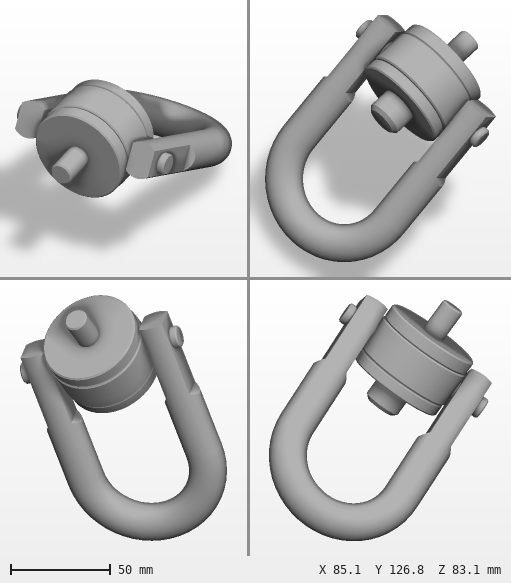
import cadquery as cq
import math


ring_radius = 25.5
ring_rear = 9.5
ring_front = -9.5
edge_chamfer = 0.8

flange_radius = 25.0
rear_clearance = 0.3
rear_flange_front = ring_rear + rear_clearance
rear_flange_rear = 16.2
front_flange_front = -17.0

sleeve_radius = 11.4

screw_radius = 6.0
head_radius = 9.5
head_rear = 28.9
head_chamfer = 2.0

bail_tilt = 30.0
rod_radius = 9.5
bend_radius = 32.1
bend_distance = 64.0
leg_end = -11.7
leg_flat_inner = 25.9
leg_flat_outer = 38.5
flat_length = 29.2

pin_radius = 5.0
pin_inner_end = 16.5
pin_head_radius = 5.6
pin_head_start = 39.2
overall_width = 85.1
pin_head_end = overall_width / 2
pin_chamfer = 0.8

overall_length = 126.8
bail_reach = (bend_distance + bend_radius) * math.cos(math.radians(bail_tilt)) + rod_radius
screw_front = bail_reach - overall_length


def disc(radius, front, rear):
    """Cylinder about the Y axis, from front to rear."""
    return cq.Workplane("XZ", origin=(0, rear, 0)).circle(radius).extrude(rear - front)


def chamfered_disc(radius, front, rear, chamfer):
    return disc(radius, front, rear).edges().chamfer(chamfer)


def pin_cylinder(radius, inner, outer):
    """Cylinder about the X axis, from inner to outer."""
    return cq.Workplane("YZ", origin=(inner, 0, 0)).circle(radius).extrude(outer - inner)


def other_side(body):
    return body.mirror("YZ")


def make_screw():
    head = disc(head_radius, rear_flange_rear, head_rear).faces(">Y").chamfer(head_chamfer)
    flange = chamfered_disc(flange_radius, rear_flange_front, rear_flange_rear, edge_chamfer)
    shank = disc(screw_radius, screw_front, rear_flange_front).faces("<Y").chamfer(edge_chamfer)
    return head.union(flange).union(shank)


def make_bushing():
    flange = chamfered_disc(flange_radius, front_flange_front, ring_front, edge_chamfer)
    sleeve = disc(sleeve_radius, ring_front, rear_flange_front)
    bore = disc(screw_radius, front_flange_front, rear_flange_front)
    return flange.union(sleeve).cut(bore)


def make_swivel_ring():
    ring = chamfered_disc(ring_radius, ring_front, ring_rear, edge_chamfer)
    ring = ring.cut(disc(sleeve_radius, ring_front, ring_rear))
    pin_hole = pin_cylinder(pin_radius, pin_inner_end, ring_radius)
    return ring.cut(pin_hole).cut(other_side(pin_hole))


def make_leg():
    """Straight leg on the +X side, flattened at its end and drilled for the pin."""
    leg = (
        cq.Workplane("XZ", origin=(bend_radius, bend_distance, 0))
        .circle(rod_radius)
        .extrude(bend_distance - leg_end)
    )
    rod_inner = bend_radius - rod_radius
    rod_outer = bend_radius + rod_radius
    for flat, surface in ((leg_flat_inner, rod_inner), (leg_flat_outer, rod_outer)):
        cut_depth = abs(surface - flat)
        flat_cut = (
            cq.Workplane("XY", origin=(0, 0, -rod_radius))
            .moveTo(flat, leg_end)
            .lineTo(flat, flat_length)
            .lineTo(surface, flat_length + cut_depth)
            .lineTo(surface, leg_end)
            .close()
            .extrude(2 * rod_radius)
        )
        leg = leg.cut(flat_cut)
    return leg.cut(pin_cylinder(pin_radius, rod_inner, rod_outer))


def make_bail():
    bend = (
        cq.Workplane("XZ", origin=(bend_radius, bend_distance, 0))
        .circle(rod_radius)
        .revolve(180, (-bend_radius, 0), (-bend_radius, 1))
    )
    leg = make_leg()
    bail = bend.union(leg).union(other_side(leg))
    return bail.rotate((0, 0, 0), (1, 0, 0), -bail_tilt)


def make_pin(side):
    """Headed pin; side is 1 for +X and -1 for -X."""
    shank = pin_cylinder(pin_radius, pin_inner_end, pin_head_start)
    head = pin_cylinder(pin_head_radius, pin_head_start, pin_head_end).faces(">X").chamfer(pin_chamfer)
    pin = shank.union(head)
    return pin if side > 0 else other_side(pin)


screw = make_screw()
bushing = make_bushing()
swivel_ring = make_swivel_ring()
bail = make_bail()
pins = [make_pin(side) for side in (-1, 1)]

bodies = [screw, bushing, swivel_ring, bail, *pins]
result = cq.Compound.makeCompound([body.solids().val() for body in bodies])